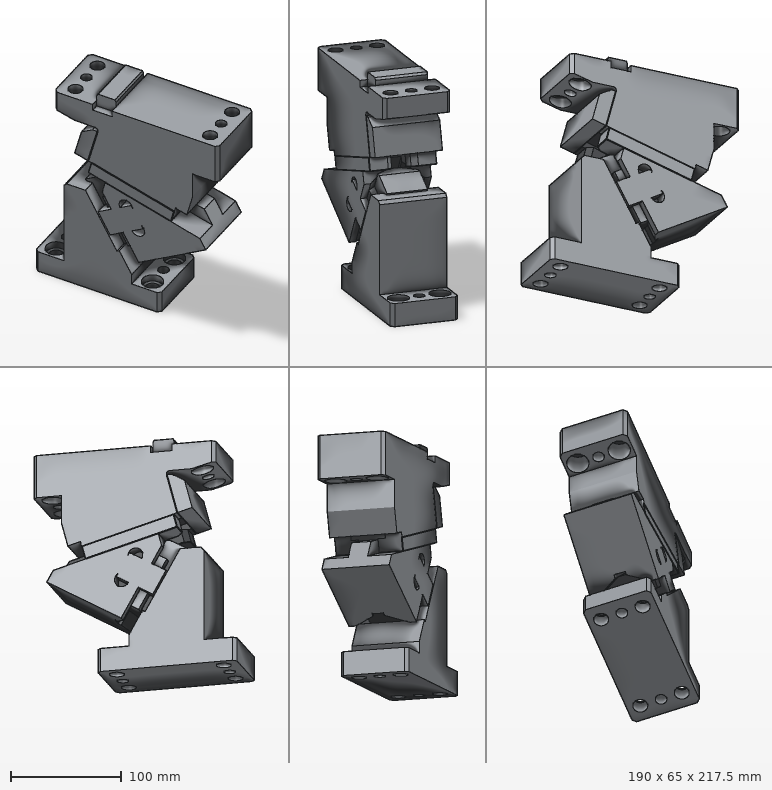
import cadquery as cq
import math

WIDTH = 65.0
HALF_WIDTH = WIDTH / 2
OVERALL_LENGTH = 190.0
OVERALL_HEIGHT = 217.5
CORNER_CHAMFER = 3.3
FAR = 435.0

BOLT_DIA = 13.5
DOWEL_DIA = 10.5
COUNTERBORE_DIA = 20.0
BOLT_GRIP = 15.0
BOLT_SPREAD = 20.0

FOOT_LENGTH = 130.0
FOOT_HEIGHT = 22.0
FOOT_HOLE_INSET = 15.0
COLUMN_LEFT = 30.0
COLUMN_RIGHT = 100.5
COLUMN_TOP = 110.0
COLUMN_CHAMFER = 3.0
SLOPE_TOP_X = 52.5
SLOPE_ANGLE = math.radians(60)
LEDGE_HEIGHT = 2.8

GUIDE_START = -5.0
GUIDE_END = 65.5
GUIDE_SINK = 5.5
WEB_HALF_WIDTH = 19.5
HEAD_START = 12.8
HEAD_HALF_WIDTH = 26.0
HEAD_UNDERSIDE = 9.1
HEAD_SHOULDER = 17.5
ROOF_ANGLE = math.radians(30)
ROOF_FLAT_HALF_WIDTH = 5.5
ROOF_TOP = HEAD_SHOULDER + (HEAD_HALF_WIDTH - ROOF_FLAT_HALF_WIDTH) * math.tan(ROOF_ANGLE)
GUIDE_END_FACE_TOP = 17.5
GUIDE_TOP_TILT = math.radians(5)

SLIDER_LOW_END = 80.5
SLIDER_OUTER = 97.9
SLIDER_FRONT = 21.5
RELIEF_SLOT_TOP = 32.6
TONGUE_GAP = 0.9
TONGUE_HEAD_HALF_WIDTH = 16.5
TONGUE_HEAD_HEIGHT = 6.5
HOOK_START = 23.3
HOOK_END = 48.3
HOOK_CLEARANCE = 1.7
HOOK_OUTER = 41.3
HOOK_INNER_FACE = 20.0
CORNER_RELIEF_RADIUS = 7.0
CORNER_RELIEF_OFF = 35.0

HOLDER_LEFT = 19.8
HOLDER_TOP = 210.0
NOSE_BOTTOM = 190.5
NOSE_RAMP_END = 41.3
THROAT_Z = 185.0
THROAT_FILLET = 3.3
RAIL_CORNER_X = 55.5
RAIL_CORNER_Z = 144.5
RAIL_ANGLE = math.radians(15)
HEEL_START = 92.5
HEEL_END = 104.6
HEEL_RISE = 4.5
HOLDER_BACK_X = 163.8
FLANGE_BOTTOM = 170.0
LEFT_HOLES_X = 35.0
RIGHT_HOLES_X = 174.9

KEY_LEFT = 60.0
KEY_RIGHT = 80.0
KEY_SEAT = 203.8
KEY_HALF_WIDTH = 25.2
KEY_CHAMFER_WIDTH = 1.0
KEY_CHAMFER_HEIGHT = 2.5

STOP_THICKNESS = 14.8
STOP_FRONT_HEIGHT = 27.5
STOP_SLANT_WIDTH = 9.4
STOP_SLANT_HEIGHT = 9.4
STOP_CHAMFER = 0.9

RAIL_START = 3.0
RAIL_THICKNESS = 13.0
RAIL_INNER_FACE = 9.4
RAIL_LEAD_IN = 5.2
RAIL_CHAMFER = 0.7

SLOPE = cq.Plane(
    origin=(SLOPE_TOP_X, 0, COLUMN_TOP),
    xDir=(math.cos(SLOPE_ANGLE), 0, -math.sin(SLOPE_ANGLE)),
    normal=(0, -1, 0),
)
RAIL = cq.Plane(
    origin=(RAIL_CORNER_X, 0, RAIL_CORNER_Z),
    xDir=(math.cos(RAIL_ANGLE), 0, -math.sin(RAIL_ANGLE)),
    normal=(0, -1, 0),
)
SIDES = (-1, 1)


def xz(plane, along, up):
    """World X and Z of a point given in a tilted frame."""
    point = plane.toWorldCoords((along, up, 0))
    return point.x, point.z


def block(plane, along, up, across):
    """Block in a tilted frame, each extent given as (low, high)."""
    size = [high - low for low, high in (along, up, across)]
    return cq.Workplane(plane).box(*size, centered=False).translate(
        plane.toWorldCoords((along[0], up[0], across[0])) - plane.origin
    )


def hole_row(x, z, depth, diameter, offsets):
    """Vertical drills going down from height z."""
    points = [(x, y) for y in offsets]
    return cq.Workplane("XY", origin=(0, 0, z)).pushPoints(points).circle(diameter / 2).extrude(-depth)


def bolt_group(x, z, depth):
    """Two bolt holes with a dowel hole between them."""
    bolts = hole_row(x, z, depth, BOLT_DIA, (-BOLT_SPREAD, BOLT_SPREAD))
    return bolts.union(hole_row(x, z, depth, DOWEL_DIA, (0,)))


def bolt_seats(x, z, depth):
    """Counterbores for the heads of the two bolts."""
    return hole_row(x, z, depth, COUNTERBORE_DIA, (-BOLT_SPREAD, BOLT_SPREAD))


def slope_prism(section, start, end):
    """Prism with a (sideways, off-slope) section, running down the slope from start to end."""
    plane = cq.Plane(
        origin=SLOPE.toWorldCoords((start, 0, 0)),
        xDir=(0, 1, 0),
        normal=SLOPE.xDir,
    )
    return cq.Workplane(plane).polyline(section).close().extrude(end - start)


def roofed_section(half_width, bottom):
    """Section with upright sides under the sloping, flat-topped roof of the guide."""
    eave = ROOF_TOP - (half_width - ROOF_FLAT_HALF_WIDTH) * math.tan(ROOF_ANGLE)
    return [
        (-half_width, bottom),
        (half_width, bottom),
        (half_width, eave),
        (ROOF_FLAT_HALF_WIDTH, ROOF_TOP),
        (-ROOF_FLAT_HALF_WIDTH, ROOF_TOP),
        (-half_width, eave),
    ]


def make_guide():
    """Narrow web under a wider roofed head, with the upper end trimmed clear of the rails."""
    web = slope_prism(roofed_section(WEB_HALF_WIDTH, -GUIDE_SINK), GUIDE_START, GUIDE_END)
    head = slope_prism(roofed_section(HEAD_HALF_WIDTH, HEAD_UNDERSIDE), HEAD_START, GUIDE_END)
    clearance = cq.Plane(
        origin=SLOPE.toWorldCoords((GUIDE_START, GUIDE_END_FACE_TOP, 0)),
        xDir=(math.cos(GUIDE_TOP_TILT), 0, math.sin(GUIDE_TOP_TILT)),
        normal=(0, -1, 0),
    )
    above = block(clearance, (-FAR, FAR), (0, FAR), (-HALF_WIDTH, HALF_WIDTH))
    return web.union(head).cut(above)


def make_base():
    foot = cq.Workplane("XY").box(FOOT_LENGTH, WIDTH, FOOT_HEIGHT, centered=(False, True, False))
    foot = foot.edges("|Z").chamfer(CORNER_CHAMFER)

    ledge_x, ledge_z = xz(SLOPE, GUIDE_END, LEDGE_HEIGHT)
    slope_bottom_z = ledge_z - (COLUMN_RIGHT - ledge_x) * math.tan(SLOPE_ANGLE)
    column = (
        cq.Workplane("XZ")
        .polyline([
            (COLUMN_LEFT, 0),
            (COLUMN_LEFT, COLUMN_TOP - COLUMN_CHAMFER),
            (COLUMN_LEFT + COLUMN_CHAMFER, COLUMN_TOP),
            (SLOPE_TOP_X, COLUMN_TOP),
            xz(SLOPE, GUIDE_END, 0),
            (ledge_x, ledge_z),
            (COLUMN_RIGHT, slope_bottom_z),
            (COLUMN_RIGHT, 0),
        ])
        .close()
        .extrude(HALF_WIDTH, both=True)
    )
    base = foot.union(column).union(make_guide())
    for x in (FOOT_HOLE_INSET, FOOT_LENGTH - FOOT_HOLE_INSET):
        base = base.cut(bolt_group(x, FOOT_HEIGHT, FOOT_HEIGHT))
        seats = bolt_seats(x, FOOT_HEIGHT, FOOT_HEIGHT - BOLT_GRIP)
        base = base.cut(seats)
    return base


def slider_block(half_width, top):
    """Wedge between the slope and the rails, reaching up to the given height in the rail frame."""
    across = (-half_width, half_width)
    on_slope = block(SLOPE, (-FAR, SLIDER_LOW_END), (HEAD_SHOULDER, SLIDER_OUTER), across)
    under_rails = block(RAIL, (SLIDER_FRONT, FAR), (-FAR, top), across)
    return on_slope.intersect(under_rails)


def tongue_head_space(start):
    """Block above the rails that fills the guide groove of the holder from the given start."""
    return block(
        RAIL,
        (start, HEEL_START),
        (0, TONGUE_HEAD_HEIGHT),
        (-TONGUE_HEAD_HALF_WIDTH, TONGUE_HEAD_HALF_WIDTH),
    )


def make_slider():
    """Wedge with a T tongue between the rails and two hooks gripping under the guide head."""
    body = slider_block(HALF_WIDTH, -RAIL_THICKNESS)
    tongue = slider_block(RAIL_INNER_FACE, -TONGUE_GAP)
    neck_under_head = block(
        RAIL,
        (SLIDER_FRONT, HEEL_START),
        (-TONGUE_GAP, 0),
        (-RAIL_INNER_FACE, RAIL_INNER_FACE),
    )
    body = body.union(tongue).union(neck_under_head).union(tongue_head_space(SLIDER_FRONT))
    hook_depth = HALF_WIDTH - HOOK_INNER_FACE
    for side in SIDES:
        across = sorted((side * HOOK_INNER_FACE, side * HALF_WIDTH))
        reliefs = (
            cq.Workplane(SLOPE)
            .workplane(offset=across[0])
            .pushPoints([(along, CORNER_RELIEF_OFF) for along in (HOOK_START, HOOK_END)])
            .circle(CORNER_RELIEF_RADIUS)
            .extrude(hook_depth)
        )
        hook = block(SLOPE, (HOOK_START, HOOK_END), (HOOK_CLEARANCE, HOOK_OUTER), across)
        body = body.cut(reliefs).union(hook)

    groove = slope_prism(roofed_section(HEAD_HALF_WIDTH, HEAD_UNDERSIDE), -FAR, FAR)
    slot = block(
        SLOPE,
        (-FAR, FAR),
        (HEAD_SHOULDER, RELIEF_SLOT_TOP),
        (-ROOF_FLAT_HALF_WIDTH, ROOF_FLAT_HALF_WIDTH),
    )
    return body.cut(groove).cut(slot)


def make_holder_body():
    throat_up = (THROAT_Z - RAIL_CORNER_Z) / math.cos(RAIL_ANGLE)
    heel_x, heel_z = xz(RAIL, HEEL_END, HEEL_RISE)
    heel_top_z = heel_z + (HOLDER_BACK_X - heel_x) / math.tan(RAIL_ANGLE)
    throat_corner = xz(RAIL, 0, throat_up)
    body = (
        cq.Workplane("XZ")
        .polyline([
            (HOLDER_LEFT, HOLDER_TOP),
            (HOLDER_LEFT, NOSE_BOTTOM),
            (NOSE_RAMP_END, THROAT_Z),
            throat_corner,
            (RAIL_CORNER_X, RAIL_CORNER_Z),
            xz(RAIL, HEEL_START, 0),
            xz(RAIL, HEEL_START, HEEL_RISE),
            (heel_x, heel_z),
            (HOLDER_BACK_X, heel_top_z),
            (HOLDER_BACK_X, FLANGE_BOTTOM),
            (OVERALL_LENGTH, FLANGE_BOTTOM),
            (OVERALL_LENGTH, HOLDER_TOP),
        ])
        .close()
        .extrude(HALF_WIDTH, both=True)
    )
    end_faces = body.faces("<X or >X")
    body = end_faces.edges("|Z").chamfer(CORNER_CHAMFER)
    throat_edge = cq.selectors.NearestToPointSelector((throat_corner[0], 0, throat_corner[1]))
    return body.edges("|Y").edges(throat_edge).fillet(THROAT_FILLET)


def make_key():
    return (
        cq.Workplane("XZ")
        .polyline([
            (KEY_LEFT, KEY_SEAT),
            (KEY_LEFT, OVERALL_HEIGHT - KEY_CHAMFER_HEIGHT),
            (KEY_LEFT + KEY_CHAMFER_WIDTH, OVERALL_HEIGHT),
            (KEY_RIGHT - KEY_CHAMFER_WIDTH, OVERALL_HEIGHT),
            (KEY_RIGHT, OVERALL_HEIGHT - KEY_CHAMFER_HEIGHT),
            (KEY_RIGHT, KEY_SEAT),
        ])
        .close()
        .extrude(KEY_HALF_WIDTH, both=True)
    )


def make_stop():
    """Plate on the front of the holder, chamfered all round its back face."""
    shoulder = -STOP_THICKNESS + STOP_SLANT_WIDTH
    crest = STOP_FRONT_HEIGHT + STOP_SLANT_HEIGHT
    back_top = crest - shoulder * math.tan(RAIL_ANGLE)
    stop = (
        cq.Workplane("XY")
        .polyline([
            (-STOP_THICKNESS, 0),
            (0, 0),
            (0, back_top),
            (shoulder, crest),
            (-STOP_THICKNESS, STOP_FRONT_HEIGHT),
        ])
        .close()
        .extrude(HALF_WIDTH, both=True)
    )
    stop = stop.faces(">X").edges().chamfer(STOP_CHAMFER)
    return cq.Workplane(stop.val().moved(cq.Location(RAIL)))


def make_rail(side):
    """Wear rail with a lead-in at its front inner corner and broken outer and lower edges."""
    rail = cq.Workplane("XY").box(
        HEEL_START - RAIL_START, RAIL_THICKNESS, HALF_WIDTH - RAIL_INNER_FACE, centered=False
    )
    rail = rail.edges("<X and <Z").chamfer(RAIL_LEAD_IN)
    rail = rail.faces(">Z or <Y").edges().chamfer(RAIL_CHAMFER)
    rail = rail.translate((RAIL_START, -RAIL_THICKNESS, RAIL_INNER_FACE))
    if side < 0:
        rail = rail.mirror("XY")
    return cq.Workplane(rail.val().moved(cq.Location(RAIL)))


def make_holder():
    holder = make_holder_body()
    key_slot = (
        cq.Workplane("XY", origin=(KEY_LEFT, 0, KEY_SEAT))
        .box(KEY_RIGHT - KEY_LEFT, WIDTH, HOLDER_TOP - KEY_SEAT, centered=(False, True, False))
    )
    holder = holder.cut(key_slot).cut(tongue_head_space(0)).union(make_key()).union(make_stop())
    for side in SIDES:
        holder = holder.union(make_rail(side))
    seat_z = HOLDER_TOP - BOLT_GRIP
    for x, bottom in ((LEFT_HOLES_X, THROAT_Z), (RIGHT_HOLES_X, FLANGE_BOTTOM)):
        holder = holder.cut(bolt_group(x, HOLDER_TOP, HOLDER_TOP - bottom))
        seats = bolt_seats(x, seat_z, seat_z - bottom)
        holder = holder.cut(seats)
    return holder


base = make_base()
slider = make_slider()
holder = make_holder()
result = cq.Compound.makeCompound([body.solids().val() for body in (base, slider, holder)])